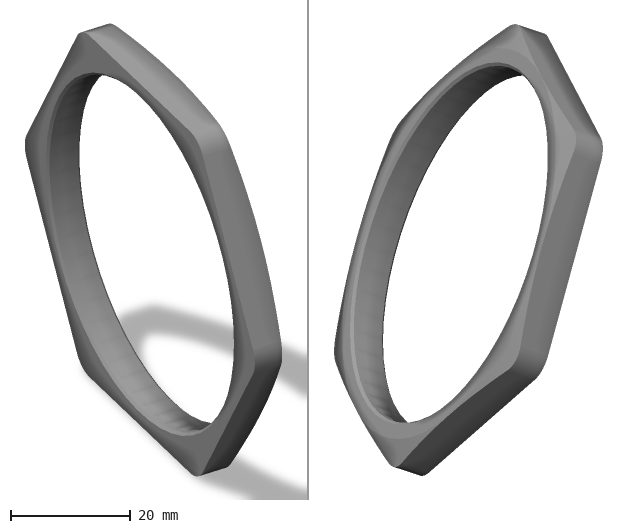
import cadquery as cq
import math

across_flats = 68.0
across_rounded_corners = 77.0
thickness = 6.5
bore_diameter = 62.0
bore_chamfer = 0.5
crown_diameter = across_flats
crown_angle = 15.0

across_sharp_corners = across_flats / math.cos(math.radians(30))
corner_trim = (across_sharp_corners - across_rounded_corners) / 2
corner_radius = corner_trim / (1 / math.cos(math.radians(30)) - 1)


def rounded_hexagon():
    """Hexagonal plate from Y = 0 to Y = thickness, with two corners on the X axis."""
    return (
        cq.Workplane("XZ")
        .polygon(6, across_sharp_corners)
        .extrude(-thickness)
        .edges("|Y")
        .fillet(corner_radius)
    )


def crown_envelope():
    """Turned blank whose +Y end is a shallow cone around a flat crown."""
    crown_radius = crown_diameter / 2
    outer_radius = across_sharp_corners / 2
    cone_drop = (outer_radius - crown_radius) * math.tan(math.radians(crown_angle))
    return (
        cq.Workplane("XY")
        .polyline([
            (0, 0),
            (outer_radius, 0),
            (outer_radius, thickness - cone_drop),
            (crown_radius, thickness),
            (0, thickness),
        ])
        .close()
        .revolve(360, (0, 0, 0), (0, 1, 0))
    )


def chamfered_bore():
    """Through bore, widened by a small chamfer at both faces."""
    bore_radius = bore_diameter / 2
    mouth_radius = bore_radius + bore_chamfer
    return (
        cq.Workplane("XY")
        .polyline([
            (0, 0),
            (mouth_radius, 0),
            (bore_radius, bore_chamfer),
            (bore_radius, thickness - bore_chamfer),
            (mouth_radius, thickness),
            (0, thickness),
        ])
        .close()
        .revolve(360, (0, 0, 0), (0, 1, 0))
    )


result = rounded_hexagon().intersect(crown_envelope()).cut(chamfered_bore())